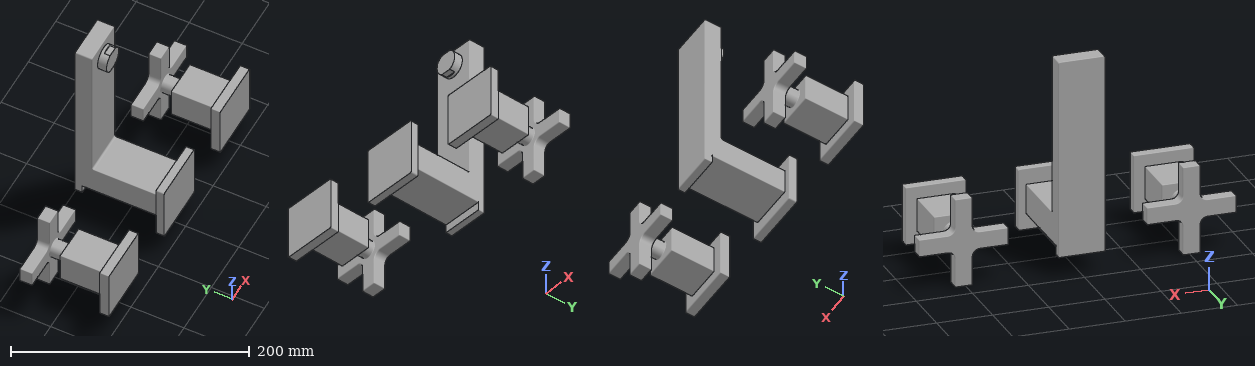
import cadquery as cq


handle_spacing = 203.2
handle_plate_width = 54.0
handle_plate_height = 52.3
handle_plate_thickness = 9.0
handle_block_width = 34.0
handle_block_height = 30.0
handle_block_end = 51.5
stem_diameter = 16.5
cross_span = 79.8
cross_arm_width = 15.5
cross_start = 65.6
cross_thickness = 12.2
cross_corner_radius = 6.5
handle_edge_radius = 0.8
stem_fillet_radius = 0.5

spout_plate_size = 55.7
spout_plate_thickness = 8.0
spout_plate_corner_radius = 1.7
spout_width = 42.0
spout_arm_height = 27.2
spout_top = 156.2
spout_back = 88.0
riser_thickness = 16.7
riser_corner_radius = 1.7
inner_corner_radius = 2.0
spout_edge_radius = 0.8
lip_bottom = -21.8
lip_thickness = 7.0

aerator_height = 138.7
aerator_diameter = 22.5
aerator_length = 8.5
aerator_flat_width = 20.5
aerator_flat_length = 5.5

riser_front = spout_back - riser_thickness


def block(width, height, start, end):
    """Box centred on the Y axis, reaching from Y = start to Y = end."""
    return cq.Workplane("XY").box(width, end - start, height).translate((0, (start + end) / 2, 0))


def cylinder(diameter, start, end):
    """Cylinder on the Y axis, reaching from Y = start to Y = end."""
    return cq.Workplane("XZ", origin=(0, start, 0)).circle(diameter / 2).extrude(start - end)


def make_cross():
    """Four-armed grip with rounded inner corners and softened edges."""
    cross_end = cross_start + cross_thickness
    level_arm = block(cross_span, cross_arm_width, cross_start, cross_end)
    upright_arm = block(cross_arm_width, cross_span, cross_start, cross_end)
    corner_zone = cq.selectors.BoxSelector(
        (-cross_arm_width, cross_start, -cross_arm_width),
        (cross_arm_width, cross_end, cross_arm_width),
    )
    cross = level_arm.union(upright_arm)
    cross = cross.edges("|Y").edges(corner_zone).fillet(cross_corner_radius)
    cross = cross.faces("<X or >X or <Z or >Z").edges("|Y").fillet(handle_edge_radius)
    return cross.faces("<Y or >Y").edges().fillet(handle_edge_radius)


def make_stem():
    """Round stem that flares into the block at one end and into the cross at the other."""
    radius = stem_diameter / 2
    flare_radius = radius + stem_fillet_radius
    block_tangent = handle_block_end + stem_fillet_radius
    cross_tangent = cross_start - stem_fillet_radius
    profile = (
        cq.Workplane("XY")
        .moveTo(0, handle_block_end)
        .lineTo(flare_radius, handle_block_end)
        .radiusArc((radius, block_tangent), stem_fillet_radius)
        .lineTo(radius, cross_tangent)
        .radiusArc((flare_radius, cross_start), stem_fillet_radius)
        .lineTo(0, cross_start)
        .close()
    )
    return profile.revolve(360, (0, 0), (0, 1))


def make_handle(x):
    """One handle: wall plate, square block, stem and cross as a single solid."""
    plate = block(handle_plate_width, handle_plate_height, 0, handle_plate_thickness)
    plate = plate.edges("|Y or >Y").fillet(handle_edge_radius)
    body = block(handle_block_width, handle_block_height, handle_plate_thickness, handle_block_end)
    body = body.edges("|Y or >Y").fillet(handle_edge_radius)
    return plate.union(body).union(make_stem()).union(make_cross()).translate((x, 0, 0))


def make_spout_profile():
    """Side outline of the arm, riser and lip, extruded across the spout width."""
    arm_top = spout_arm_height / 2
    lip_front = spout_back - lip_thickness
    return (
        cq.Workplane("YZ")
        .moveTo(spout_plate_thickness, -arm_top)
        .lineTo(spout_plate_thickness, arm_top)
        .lineTo(riser_front, arm_top)
        .lineTo(riser_front, spout_top)
        .lineTo(spout_back, spout_top)
        .lineTo(spout_back, lip_bottom)
        .lineTo(lip_front, lip_bottom)
        .lineTo(lip_front, -arm_top)
        .close()
        .extrude(spout_width / 2, both=True)
    )


def make_aerator():
    """Round outlet with two wrench flats, above and below, on its outer part."""
    start = riser_front - aerator_length
    flat_end = start + aerator_flat_length
    tip = cylinder(aerator_diameter, start, flat_end)
    tip = tip.intersect(block(aerator_diameter, aerator_flat_width, start, flat_end))
    base = cylinder(aerator_diameter, flat_end, riser_front)
    return tip.union(base).translate((0, 0, aerator_height))


def make_spout_body():
    """Arm, riser and lip with rounded corners and softened edges."""
    body = make_spout_profile()
    inner_corner = cq.selectors.NearestToPointSelector((0, riser_front, spout_arm_height / 2))
    body = body.edges("|X").edges(inner_corner).fillet(inner_corner_radius)
    body = body.edges("|Y").edges(">Z").fillet(riser_corner_radius)
    body = body.faces("<Z").edges("|Y").fillet(spout_edge_radius)
    body = body.faces(">Y").edges().fillet(spout_edge_radius)
    riser_face = cq.selectors.NearestToPointSelector((0, riser_front, spout_top / 2))
    body = body.faces(riser_face).edges(">Z").fillet(spout_edge_radius)
    arm_underside = cq.selectors.NearestToPointSelector((0, riser_front / 2, -spout_arm_height / 2))
    return body.faces(arm_underside).edges("|Y").fillet(spout_edge_radius)


def make_spout():
    """Wall plate, spout body and aerator as a single solid."""
    plate = block(spout_plate_size, spout_plate_size, 0, spout_plate_thickness)
    plate = plate.edges("|Y").fillet(spout_plate_corner_radius)
    plate = plate.faces(">Y").edges().fillet(spout_edge_radius)
    return plate.union(make_spout_body()).union(make_aerator())


handles = [make_handle(side * handle_spacing / 2) for side in (-1, 1)]
spout = make_spout()

result = cq.Compound.makeCompound([spout.val(), *[handle.val() for handle in handles]])